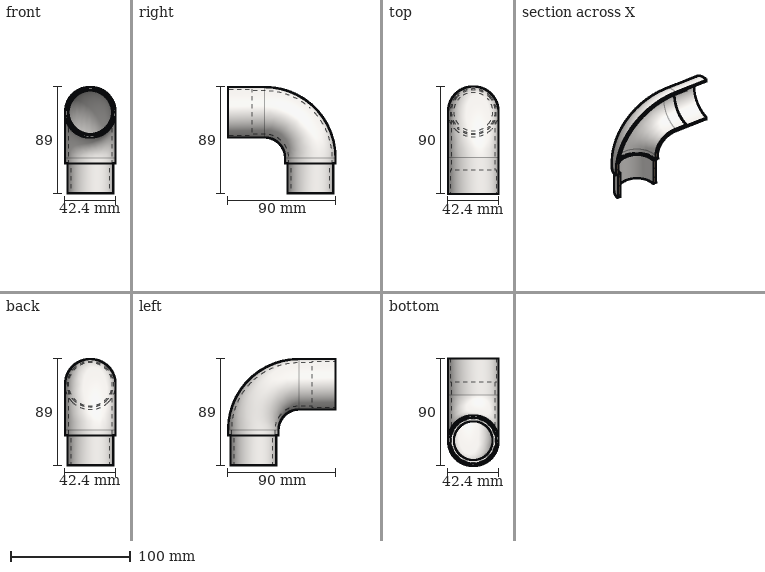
import cadquery as cq

overall_length = 90.0
overall_height = 89.0
pipe_diameter = 42.4
spigot_diameter = 38.4
socket_diameter = spigot_diameter
pipe_bore = 36.4
spigot_bore = 32.4
bend_radius = 38.1
collar_height = 4.7
socket_depth = 20.0

arm_length = overall_length - bend_radius - pipe_diameter / 2
spigot_length = overall_height - bend_radius - pipe_diameter / 2 - collar_height
collar_bottom = -collar_height
spigot_bottom = collar_bottom - spigot_length
arm_end = -bend_radius - arm_length


def vertical_cylinder(diameter, bottom, height):
    """Cylinder on the vertical axis of the elbow."""
    return cq.Workplane("XY", origin=(0, 0, bottom)).circle(diameter / 2).extrude(height)


def arm_cylinder(diameter, length):
    """Cylinder running inward, toward +Y, from the open end of the horizontal arm."""
    plane = cq.Plane(origin=(0, arm_end, bend_radius), xDir=(1, 0, 0), normal=(0, 1, 0))
    return cq.Workplane(plane).circle(diameter / 2).extrude(length)


def elbow_run(diameter):
    """Collar, quarter bend and horizontal arm as one solid round run."""
    bend = (
        cq.Workplane("XY")
        .circle(diameter / 2)
        .revolve(90, (0, -bend_radius, 0), (1, -bend_radius, 0))
    )
    collar = vertical_cylinder(diameter, collar_bottom, collar_height)
    return bend.union(collar).union(arm_cylinder(diameter, arm_length))


body = elbow_run(pipe_diameter).union(
    vertical_cylinder(spigot_diameter, spigot_bottom, spigot_length)
)

body = body.cut(elbow_run(pipe_bore))
body = body.cut(vertical_cylinder(spigot_bore, spigot_bottom, spigot_length))
result = body.cut(arm_cylinder(socket_diameter, socket_depth))